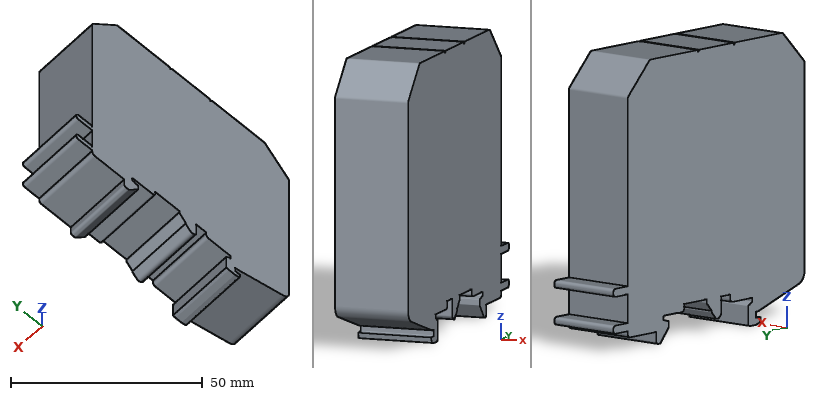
import cadquery as cq
import math

WIDTH = 20.4
HEIGHT = 76.1
LENGTH = 76.3

BACK_Y = 70.5
BEVEL = 8.8
BEVEL_ROUND = 1.0
BASE_Z = 3.5
BASE_ROUND = 1.0
SHELF_Z = 7.4
RECESS_Z = 9.45
SHELF_ROUND = 0.9
FRONT_CORNER_Z = 9.3
FRONT_ROUND = 3.4

PIN_THICKNESS = 2.1
PIN_ROUND = 0.9
PIN_EMBED = 0.8
PIN_CENTERS_Z = (6.3, 16.1)

GROOVE_SPACING = 14.35
GROOVE_CENTERS_Y = ((BACK_Y - GROOVE_SPACING) / 2, (BACK_Y + GROOVE_SPACING) / 2)
GROOVE_WIDTH = 0.8
GROOVE_DEPTH = 0.5

HOUSING_TOP = [
    (0, HEIGHT - BEVEL, BEVEL_ROUND),
    (BEVEL, HEIGHT, BEVEL_ROUND),
    (BACK_Y - BEVEL, HEIGHT, BEVEL_ROUND),
    (BACK_Y, HEIGHT - BEVEL, BEVEL_ROUND),
    (BACK_Y, BASE_Z, BASE_ROUND),
]
REAR_FOOT = [
    (59.1, BASE_Z, 0),
    (59.1, 0.2, 0.8),
    (57.5, 0.2, 0.7),
    (54.1, 4.1, 0.2),
    (54.1, 5.7, 0.15),
    (56.3, 6.3, 0.4),
    (56.3, SHELF_Z, 0.45),
]
RAIL_RECESS_REAR = [
    (48.1, SHELF_Z, SHELF_ROUND),
    (48.1, RECESS_Z, 0),
]
MIDDLE_HOOK = [
    (39.15, RECESS_Z, 0),
    (39.15, 8.5, 0.2),
    (37.0, 6.1, 0),
    (37.0, 5.65, 0.2),
    (34.9, 3.35, 0.9),
    (33.35, 4.6, 0.8),
    (33.35, RECESS_Z, 0),
]
RAIL_RECESS_FRONT = [
    (29.7, RECESS_Z, 0),
    (29.7, SHELF_Z, SHELF_ROUND),
]
FRONT_FOOT = [
    (20.9, SHELF_Z, 0),
    (20.9, 6.4, 0.15),
    (22.5, 5.5, 0.15),
    (22.5, 0.2, 0),
    (21.6, 0, 0),
    (19.45, 0, 0),
    (17.8, 0.45, 0.2),
    (17.5, 1.8, 0),
    (19.4, 1.9, 0.2),
    (19.4, BASE_Z, 0),
    (18.55, BASE_Z, 0),
]
FRONT_CORNER = [(0, FRONT_CORNER_Z, FRONT_ROUND)]


def rounded_corner(before, corner, after, radius):
    """Return the start, middle and end of the arc that rounds a corner."""
    point = cq.Vector(*corner)
    to_before = (cq.Vector(*before) - point).normalized()
    to_after = (cq.Vector(*after) - point).normalized()
    half_angle = to_before.getAngle(to_after) / 2
    setback = radius / math.tan(half_angle)
    bisector = (to_before + to_after).normalized()
    middle = point + bisector * (radius / math.sin(half_angle) - radius)
    return point + to_before * setback, middle, point + to_after * setback


def extrude_profile(corners):
    """Extrude a closed Y-Z outline with rounded corners over the full width."""
    edges = []
    joints = []
    for i, (y, z, radius) in enumerate(corners):
        corner = (y, z)
        if radius == 0:
            joints.append((cq.Vector(*corner), cq.Vector(*corner)))
            continue
        before = corners[i - 1][:2]
        after = corners[(i + 1) % len(corners)][:2]
        start, middle, end = rounded_corner(before, corner, after, radius)
        edges.append(cq.Edge.makeThreePointArc(start, middle, end))
        joints.append((start, end))
    for i, (start, _) in enumerate(joints):
        edges.append(cq.Edge.makeLine(joints[i - 1][1], start))
    outline = cq.Wire.combine(edges)[0]
    profile = cq.Face.makeFromWires(outline.moved(cq.Plane.YZ().location))
    return cq.Workplane(cq.Solid.extrudeLinear(profile, cq.Vector(WIDTH, 0, 0)))


def terminal_pin(center_z):
    """Flat pin standing out of the back face, with rounded tip edges."""
    bottom = center_z - PIN_THICKNESS / 2
    top = center_z + PIN_THICKNESS / 2
    return extrude_profile([
        (BACK_Y - PIN_EMBED, bottom, 0),
        (LENGTH, bottom, PIN_ROUND),
        (LENGTH, top, PIN_ROUND),
        (BACK_Y - PIN_EMBED, top, 0),
    ])


def top_groove(center_y):
    """V-shaped cutter running across the top face."""
    return extrude_profile([
        (center_y - GROOVE_WIDTH / 2, HEIGHT, 0),
        (center_y, HEIGHT - GROOVE_DEPTH, 0),
        (center_y + GROOVE_WIDTH / 2, HEIGHT, 0),
    ])


result = extrude_profile(
    HOUSING_TOP + REAR_FOOT + RAIL_RECESS_REAR + MIDDLE_HOOK
    + RAIL_RECESS_FRONT + FRONT_FOOT + FRONT_CORNER
)
for pin_z in PIN_CENTERS_Z:
    result = result.union(terminal_pin(pin_z))
for groove_y in GROOVE_CENTERS_Y:
    result = result.cut(top_groove(groove_y))